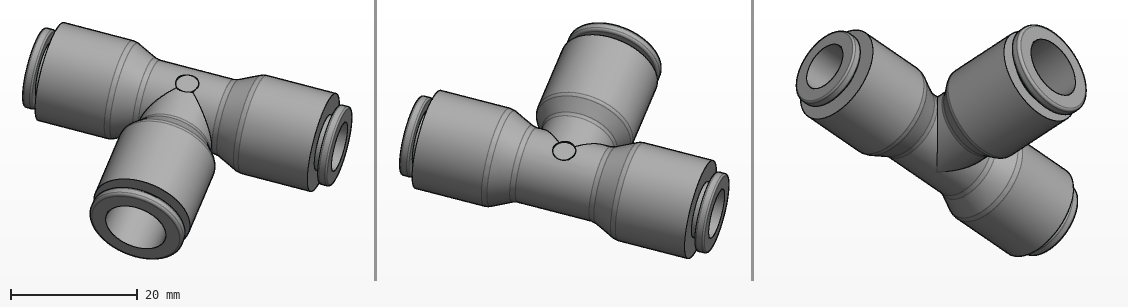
import cadquery as cq

run_length = 50.7
branch_reach = 25.65
sleeve_radius = 8.0
core_radius = 6.1

run_reach = run_length / 2
run_cone_start = 6.6
run_cone_end = 10.7
run_sleeve_end = 22.65
run_neck_radius = 4.55
run_flange_radius = 6.5
run_flange_width = 1.55
run_flange_edge = 0.3
run_bore_radius = 4.0

branch_cone_start = 7.35
branch_cone_end = 9.95
branch_sleeve_end = 22.6
branch_neck_radius = 5.55
branch_flange_radius = 7.75
branch_flange_width = 1.7
branch_flange_edge = 0.45
branch_bore_radius = 5.0

run_blend_radius = 2.05
branch_blend_radius = 1.0
emblem_radius = 1.8
emblem_depth = 0.3


def make_port(plane, cone_start, cone_end, blend_radius, sleeve_end, neck_radius,
              flange_radius, flange_width, flange_edge, reach):
    """Pipe, blended cone, sleeve and flanged collet, built outwards from the tee centre."""
    body_profile = (
        cq.Workplane("XZ")
        .polyline([
            (0, 0),
            (core_radius, 0),
            (core_radius, cone_start),
            (sleeve_radius, cone_end),
            (sleeve_radius, sleeve_end),
            (0, sleeve_end),
        ])
        .close()
    )
    body = body_profile.revolve(360, (0, 0, 0), (0, 1, 0))
    cone_edges = cq.selectors.BoxSelector(
        (-sleeve_radius * 2, -sleeve_radius * 2, cone_start / 2),
        (sleeve_radius * 2, sleeve_radius * 2, (cone_end + sleeve_end) / 2),
    )
    body = body.edges("%CIRCLE").edges(cone_edges).fillet(blend_radius)

    neck = cq.Workplane("XY").circle(neck_radius).extrude(reach)
    flange = (
        cq.Workplane("XY", origin=(0, 0, reach - flange_width))
        .circle(flange_radius)
        .extrude(flange_width)
        .edges()
        .fillet(flange_edge)
    )
    port = body.union(neck).union(flange)
    return cq.Workplane(port.val().located(cq.Location(plane)))


def make_run_port(direction):
    """One end of the run, facing +X or -X."""
    plane = cq.Plane(origin=(0, 0, 0), xDir=(0, 1, 0), normal=(direction, 0, 0))
    return make_port(plane, run_cone_start, run_cone_end, run_blend_radius,
                     run_sleeve_end, run_neck_radius,
                     run_flange_radius, run_flange_width, run_flange_edge, run_reach)


def make_branch_port():
    plane = cq.Plane(origin=(0, 0, 0), xDir=(1, 0, 0), normal=(0, -1, 0))
    return make_port(plane, branch_cone_start, branch_cone_end, branch_blend_radius, branch_sleeve_end,
                     branch_neck_radius, branch_flange_radius, branch_flange_width,
                     branch_flange_edge, branch_reach)


tee = make_run_port(-1).union(make_run_port(1)).union(make_branch_port())

run_bore = cq.Workplane("YZ").circle(run_bore_radius).extrude(run_reach, both=True)
branch_bore = cq.Workplane("XZ").circle(branch_bore_radius).extrude(branch_reach)

emblem_recess = (
    cq.Workplane("XY", origin=(0, 0, core_radius - emblem_depth))
    .circle(emblem_radius)
    .extrude(core_radius)
)

result = tee.cut(run_bore).cut(branch_bore).cut(emblem_recess)